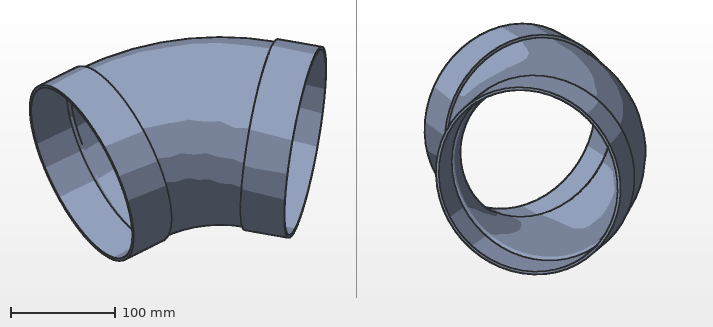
import cadquery as cq
import math

collar_diameter = 186.0
body_diameter = 180.0
bore_diameter = 174.3
collar_length = 43.0
bend_angle = 45

socket_diameter = body_diameter
bend_radius = body_diameter

stop_radius = (socket_diameter - bore_diameter) / 2

turn = math.radians(bend_angle)
bend_start = (0, collar_length, 0)
bend_end = (
    bend_radius * (1 - math.cos(turn)),
    collar_length + bend_radius * math.sin(turn),
    0,
)
inlet_direction = (0, -1, 0)
outlet_direction = (math.sin(turn), math.cos(turn), 0)


def straight_rod(start, direction, diameter):
    """Solid cylinder, one collar long, running from a start point along a direction."""
    plane = cq.Plane(origin=start, xDir=(0, 0, 1), normal=direction)
    return cq.Workplane(plane).circle(diameter / 2).extrude(collar_length)


def bent_rod(diameter):
    """Solid round rod following the bend between the two collars."""
    plane = cq.Plane(origin=bend_start, xDir=(1, 0, 0), normal=(0, 1, 0))
    return (
        cq.Workplane(plane)
        .circle(diameter / 2)
        .revolve(bend_angle, (bend_radius, 0), (bend_radius, 1))
    )


def socket(seat, direction):
    """Cutter for a pipe socket that leaves the rounded stop at its seat."""
    stop = cq.Solid.makeTorus(
        socket_diameter / 2,
        stop_radius,
        cq.Vector(*seat),
        cq.Vector(*direction),
    )
    return straight_rod(seat, direction, socket_diameter).cut(cq.Workplane(stop))


elbow = bent_rod(body_diameter)
cavity = bent_rod(bore_diameter)
ends = ((bend_start, inlet_direction), (bend_end, outlet_direction))
for seat, direction in ends:
    elbow = elbow.union(straight_rod(seat, direction, collar_diameter))
    cavity = cavity.union(socket(seat, direction))

result = elbow.cut(cavity)